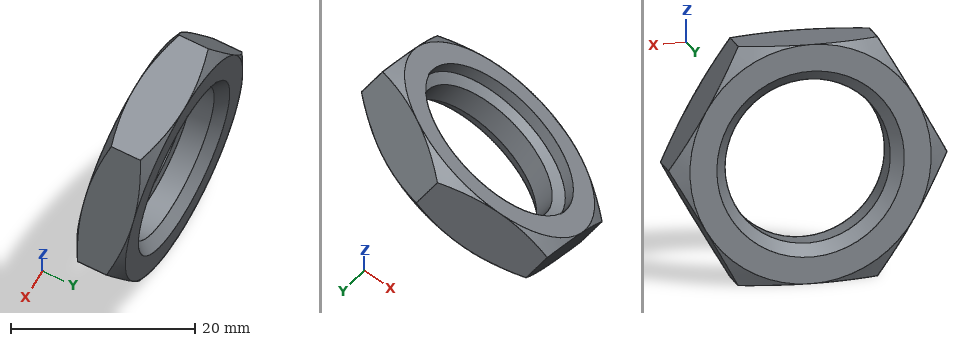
import cadquery as cq
import math

across_corners = 31.18
thickness = 6.0
bore_diameter = 18.5
recess_diameter = 20.98
counterbore_depth = 1.37
counterbore_floor_angle = 30.0
countersink_angle = 45.0
corner_chamfer_angle = 30.0

corner_radius = across_corners / 2
flat_radius = corner_radius * math.cos(math.radians(30))
half_thickness = thickness / 2
bore_radius = bore_diameter / 2
recess_radius = recess_diameter / 2
recess_step = recess_radius - bore_radius
counterbore_floor_drop = recess_step * math.tan(math.radians(counterbore_floor_angle))
countersink_depth = recess_step * math.tan(math.radians(countersink_angle))
corner_drop = (corner_radius - flat_radius) * math.tan(math.radians(corner_chamfer_angle))


def hexagon_blank():
    """Hexagonal prism centred on the origin, with two corners on the X axis."""
    return cq.Workplane("XZ").polygon(6, across_corners).extrude(half_thickness, both=True)


def chamfer_envelope():
    """Solid of revolution whose cones round off the hexagon's corners at both ends."""
    profile = (
        cq.Workplane("XY")
        .moveTo(0, -half_thickness)
        .lineTo(flat_radius, -half_thickness)
        .lineTo(corner_radius, -half_thickness + corner_drop)
        .lineTo(corner_radius, half_thickness - corner_drop)
        .lineTo(flat_radius, half_thickness)
        .lineTo(0, half_thickness)
        .close()
    )
    return profile.revolve(360, (0, 0, 0), (0, 1, 0))


def stepped_bore():
    """Through bore with a cone-floored counterbore at -Y and a countersink at +Y."""
    profile = (
        cq.Workplane("XY")
        .moveTo(0, -half_thickness)
        .lineTo(recess_radius, -half_thickness)
        .lineTo(recess_radius, -half_thickness + counterbore_depth)
        .lineTo(bore_radius, -half_thickness + counterbore_depth + counterbore_floor_drop)
        .lineTo(bore_radius, half_thickness - countersink_depth)
        .lineTo(recess_radius, half_thickness)
        .lineTo(0, half_thickness)
        .close()
    )
    return profile.revolve(360, (0, 0, 0), (0, 1, 0))


result = hexagon_blank().intersect(chamfer_envelope()).cut(stepped_bore())